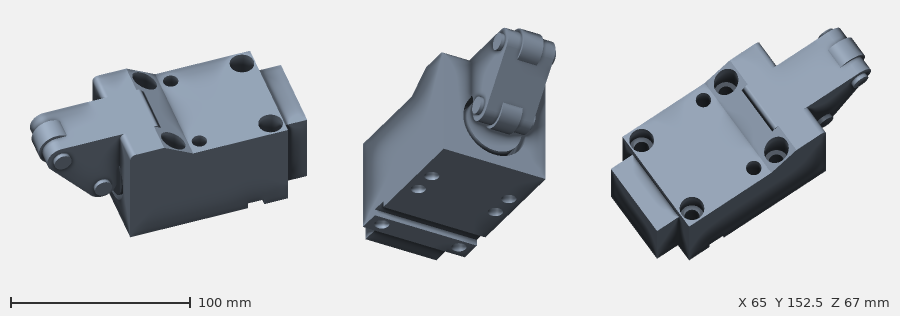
import cadquery as cq
import math


housing_width = 65.0
housing_length = 92.9
housing_height = 65.0
rear_deck_height = 54.7
slope_start_y = 37.0
slope_end_y = 20.0
front_edge_radius = 3.4
notch_near_y = 69.2
notch_width = 9.8
notch_depth = 3.8

block_size = 45.0
block_length = 14.8
block_bottom = 3.2

hole_diameter = 8.5
counterbore_diameter = 13.7
counterbore_depth = 13.7
hole_x = 24.5
rear_hole_y = 85.4
middle_hole_y = 43.5
front_hole_y = 28.0

bore_axis_z = 26.1
bore_radius = 18.6
bore_depth = 45.8
recess_radius = 20.0
recess_depth = 10.7
slot_back_y = 24.2

nose_radius = 17.2
neck_groove_radius = 17.7
neck_groove_depth = 0.9

lever_width = 29.9
lever_back_y = 23.0
lever_underside_z = 40.5
lever_end_radius = 8.5
lever_back_radius = 2.1
lever_throat_radius = 3.4
roller_radius = 10.5
roller_width = 12.5
pin_diameter = 10.0
pin_length = 34.8
overall_length = 152.5

rear_y = housing_length + block_length
upper_roller_y = rear_y - overall_length + roller_radius
upper_roller_z = housing_height - lever_end_radius
lower_roller_y = -roller_radius
lower_roller_z = 27.6
roller_centres = [(upper_roller_y, upper_roller_z), (lower_roller_y, lower_roller_z)]


def x_cylinder(radius, length, y, z):
    """Cylinder along X, centred on the middle plane."""
    return cq.Workplane("YZ").center(y, z).circle(radius).extrude(length / 2, both=True)


def box_between(width, y_near, y_far, z_low, z_high):
    """Box centred on the middle plane, given by its Y and Z limits."""
    return (
        cq.Workplane("XY")
        .box(width, y_far - y_near, z_high - z_low, centered=(True, False, False))
        .translate((0, y_near, z_low))
    )


def turned_on_bore_axis(profile):
    """Turn a (radius, y) profile about the bore axis."""
    return profile.close().revolve(360, (0, 0, 0), (0, 1, 0)).translate((0, 0, bore_axis_z))


def housing_blank():
    """Extruded side outline with a rounded front edge, plus the rear block."""
    outline = [
        (0, 0),
        (0, housing_height),
        (slope_end_y, housing_height),
        (slope_start_y, rear_deck_height),
        (housing_length, rear_deck_height),
        (housing_length, 0),
    ]
    main = cq.Workplane("YZ").polyline(outline).close().extrude(housing_width / 2, both=True)
    main = main.faces("<Y").edges(">Z").fillet(front_edge_radius)
    block = box_between(block_size, housing_length, rear_y, block_bottom, block_bottom + block_size)
    return main.union(block)


def bore_cut():
    """Blind bore with a recess whose floor corner is a quarter round."""
    profile = (
        cq.Workplane("XY")
        .moveTo(0, 0)
        .lineTo(recess_radius, 0)
        .lineTo(recess_radius, recess_depth - (recess_radius - bore_radius))
        .radiusArc((bore_radius, recess_depth), -(recess_radius - bore_radius))
        .lineTo(bore_radius, bore_depth)
        .lineTo(0, bore_depth)
    )
    return turned_on_bore_axis(profile)


def mounting_hole_cuts():
    """Six through holes; the front and rear pairs are counterbored to one level."""
    sides = (-hole_x, hole_x)
    holes = (
        cq.Workplane("XY")
        .pushPoints([(x, y) for x in sides for y in (rear_hole_y, middle_hole_y, front_hole_y)])
        .circle(hole_diameter / 2)
        .extrude(housing_height)
    )
    counterbores = (
        cq.Workplane("XY", origin=(0, 0, rear_deck_height - counterbore_depth))
        .pushPoints([(x, y) for x in sides for y in (rear_hole_y, front_hole_y)])
        .circle(counterbore_diameter / 2)
        .extrude(housing_height)
    )
    return holes.union(counterbores)


def make_housing():
    notch = box_between(housing_width, notch_near_y, notch_near_y + notch_width, 0, notch_depth)
    lever_slot = box_between(lever_width, 0, slot_back_y, bore_axis_z, housing_height)
    return housing_blank().cut(notch).cut(bore_cut()).cut(lever_slot).cut(mounting_hole_cuts())


def make_plunger():
    """Round plunger with a narrower nose, a dished shoulder and a seat for the lever."""
    profile = (
        cq.Workplane("XY")
        .moveTo(0, 0)
        .lineTo(nose_radius, 0)
        .lineTo(nose_radius, recess_depth + neck_groove_depth)
        .lineTo(neck_groove_radius, recess_depth + neck_groove_depth)
        .lineTo(bore_radius, recess_depth)
        .lineTo(bore_radius, bore_depth)
        .lineTo(0, bore_depth)
    )
    above_flat = box_between(lever_width, 0, slot_back_y, lever_underside_z, housing_height)
    return turned_on_bore_axis(profile).cut(above_flat).cut(lever_plate())


def lever_plate():
    """Three-cornered plate with round ends about both rollers and a tail in the slot."""
    rise_y = upper_roller_y - lower_roller_y
    rise_z = upper_roller_z - lower_roller_z
    span = math.hypot(rise_y, rise_z)
    normal_y = -rise_z / span * lever_end_radius
    normal_z = rise_y / span * lever_end_radius
    diagonal = math.radians(45)
    offset = lever_end_radius * math.sin(diagonal)
    inner_face_y = lower_roller_y + lever_end_radius
    plate = (
        cq.Workplane("YZ")
        .moveTo(lever_back_y, housing_height)
        .lineTo(upper_roller_y, housing_height)
        .threePointArc(
            (upper_roller_y - offset, upper_roller_z + offset),
            (upper_roller_y + normal_y, upper_roller_z + normal_z),
        )
        .lineTo(lower_roller_y + normal_y, lower_roller_z + normal_z)
        .threePointArc(
            (lower_roller_y, lower_roller_z - lever_end_radius),
            (inner_face_y, lower_roller_z),
        )
        .lineTo(inner_face_y, lever_underside_z - lever_throat_radius)
        .radiusArc((inner_face_y + lever_throat_radius, lever_underside_z), lever_throat_radius)
        .lineTo(lever_back_y, lever_underside_z)
        .close()
        .extrude(lever_width / 2, both=True)
    )
    return plate.faces(">Y").edges(">Z").fillet(lever_back_radius)


def make_lever():
    lever = lever_plate()
    for y, z in roller_centres:
        lever = lever.union(x_cylinder(roller_radius, roller_width, y, z))
        lever = lever.union(x_cylinder(pin_diameter / 2, pin_length, y, z))
    return lever


housing = make_housing()
plunger = make_plunger()
lever = make_lever()

result = cq.Compound.makeCompound([housing.val(), plunger.val(), lever.val()])